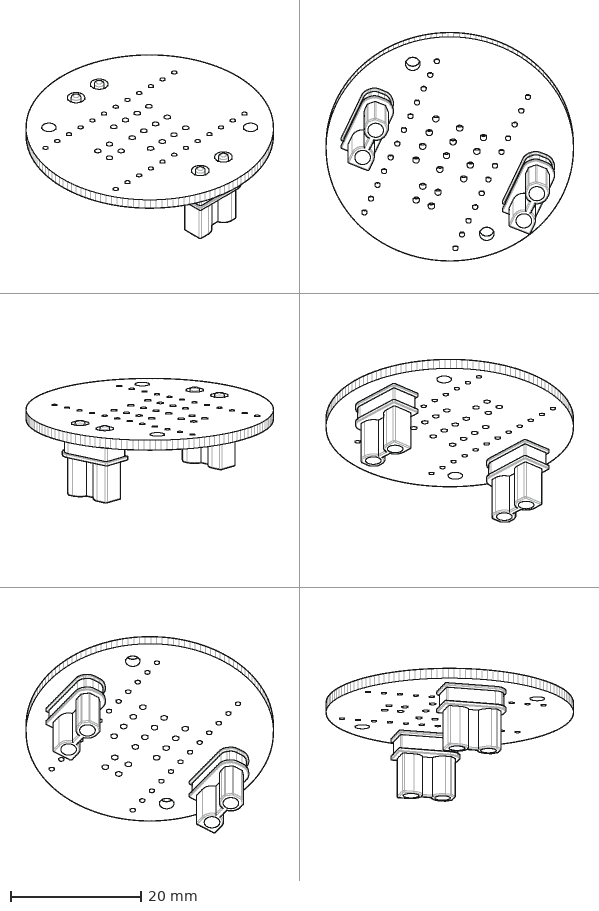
import cadquery as cq
import math

BOARD_DIAMETER = 38.0
BOARD_FACETS = 137
BOARD_THICKNESS = 1.6

HEADER_HOLE_DIAMETER = 0.8
HEADER_ROW_COUNT = 2
HEADER_ROW_SPACING = 15.25
PITCHES_BETWEEN_ROWS = 6
PITCH = HEADER_ROW_SPACING / PITCHES_BETWEEN_ROWS
HEADER_HOLE_COUNT = 12
HEADER_CENTER = (0.1, -1.15)
WIRE_HOLE_DIAMETER = 1.0
WIRE_GRID_X_PITCH = 4.0
WIRE_GRID_COLUMNS = 3
WIRE_GRID_ROWS = 4
SQUARE_GRID_COUNT = 2
SQUARE_GRID_CENTER_Y = -8.75
MOUNTING_HOLE_DIAMETER = 2.2
MOUNTING_HOLE_OFFSET = 10.95
PIN_CLEARANCE_DIAMETER = 2.7

CONNECTOR_OFFSET = 13.5
PIN_SPACING = 5.0

COLLAR_HEIGHT = 0.7
FLANGE_TOP = 2.85
FLANGE_BOTTOM = 3.45
HOUSING_DEPTH = 9.65

PLUG_WIDTH = 3.57
PLUG_LENGTH = 8.63
PLUG_CORNER_CUT = 0.9
PLUG_ROUND = 0.25
WAIST_WIDTH = 1.0
PLUG_TIP_ROUND = 0.2

NECK_WIDTH = 4.5
NECK_LENGTH = 9.5
NECK_CORNER_CUT = 1.1
NECK_KEY_ROUND = 1.5
NECK_PLAIN_ROUND = 0.23

RIM_OVERHANG = 0.35
RIM_PLAIN_ROUND = 0.25
COLLAR_ROUND = 0.23
FLANGE_ROUND = 0.1

SHANK_DIAMETER = 2.4
TAIL_DIAMETER = 1.5
TAIL_PROTRUSION = 0.35
TAIL_ROUND = 0.3


def pin_positions():
    """Y positions of the two pins of a connector."""
    return [-PIN_SPACING / 2, PIN_SPACING / 2]


def keyed_block(width, length, corner_cut, key_round, plain_round, top, bottom):
    """Block between two Z levels whose +Y corners are cut at 45 degrees and rounded."""
    half_width = width / 2
    half_length = length / 2
    outline = [
        (-half_width, -half_length),
        (half_width, -half_length),
        (half_width, half_length - corner_cut),
        (half_width - corner_cut, half_length),
        (-half_width + corner_cut, half_length),
        (-half_width, half_length - corner_cut),
    ]
    block = cq.Workplane("XY").workplane(offset=bottom).polyline(outline).close().extrude(top - bottom)
    block = block.edges("|Z and (not <Y)").fillet(key_round)
    return block.edges("|Z").edges("<Y").fillet(plain_round)


def rim_block(top, bottom):
    """Block with the outline of the neck grown by the rim overhang."""
    growth = 2 * RIM_OVERHANG
    corner_cut = NECK_CORNER_CUT + RIM_OVERHANG * (2 - math.sqrt(2))
    return keyed_block(
        NECK_WIDTH + growth, NECK_LENGTH + growth, corner_cut,
        NECK_KEY_ROUND + RIM_OVERHANG, RIM_PLAIN_ROUND, top, bottom,
    )


def make_waist_cut(side):
    """Material removed between the lobes on one side: -1 for -X, 1 for +X."""
    lobe_radius = PLUG_WIDTH / 2
    cut_depth = lobe_radius - WAIST_WIDTH / 2
    height = HOUSING_DEPTH - FLANGE_BOTTOM
    block = (
        cq.Workplane("XY").workplane(offset=-HOUSING_DEPTH)
        .center(side * (WAIST_WIDTH + cut_depth) / 2, 0)
        .rect(cut_depth, PIN_SPACING)
        .extrude(height)
    )
    lobes = (
        cq.Workplane("XY").workplane(offset=-HOUSING_DEPTH)
        .pushPoints([(0, y) for y in pin_positions()])
        .circle(lobe_radius)
        .extrude(height)
    )
    return block.cut(lobes)


def make_plug():
    plug = keyed_block(
        PLUG_WIDTH, PLUG_LENGTH, PLUG_CORNER_CUT, PLUG_ROUND, PLUG_ROUND, -FLANGE_BOTTOM, -HOUSING_DEPTH,
    )
    for side in (-1, 1):
        plug = plug.cut(make_waist_cut(side))
    return plug.faces("<Z").edges().fillet(PLUG_TIP_ROUND)


def make_housing():
    """Connector housing centred on the Z axis, its top against the board."""
    collar = rim_block(0, -COLLAR_HEIGHT).faces("<Z or >Z").edges().fillet(COLLAR_ROUND)
    neck = keyed_block(
        NECK_WIDTH, NECK_LENGTH, NECK_CORNER_CUT, NECK_KEY_ROUND, NECK_PLAIN_ROUND,
        -COLLAR_HEIGHT, -FLANGE_TOP,
    )
    flange = rim_block(-FLANGE_TOP, -FLANGE_BOTTOM).faces("<Z or >Z").edges().fillet(FLANGE_ROUND)
    pin_bores = (
        cq.Workplane("XY")
        .pushPoints([(0, y) for y in pin_positions()])
        .circle(SHANK_DIAMETER / 2)
        .extrude(-HOUSING_DEPTH)
    )
    return collar.union(neck).union(flange).union(make_plug()).cut(pin_bores)


def make_pin():
    """Pin on the Z axis: the shank fills its bore, the tail rises through the board."""
    shank = cq.Workplane("XY").circle(SHANK_DIAMETER / 2).extrude(-HOUSING_DEPTH)
    tail = (
        cq.Workplane("XY")
        .circle(TAIL_DIAMETER / 2)
        .extrude(BOARD_THICKNESS + TAIL_PROTRUSION)
        .faces(">Z").edges()
        .fillet(TAIL_ROUND)
    )
    return shank.union(tail)


def drill(board, diameter, positions):
    """Cut through holes at the given XY positions."""
    holes = cq.Workplane("XY").pushPoints(positions).circle(diameter / 2).extrude(BOARD_THICKNESS)
    return board.cut(holes)


def grid(x_pitch, y_pitch, columns, rows, center):
    """XY positions of a rectangular grid around a centre."""
    return [
        (
            center[0] + (column - (columns - 1) / 2) * x_pitch,
            center[1] + (row - (rows - 1) / 2) * y_pitch,
        )
        for column in range(columns)
        for row in range(rows)
    ]


def make_board():
    header_holes = grid(HEADER_ROW_SPACING, PITCH, HEADER_ROW_COUNT, HEADER_HOLE_COUNT, HEADER_CENTER)
    wire_holes = grid(WIRE_GRID_X_PITCH, PITCH, WIRE_GRID_COLUMNS, WIRE_GRID_ROWS, (0, 0))
    square_holes = grid(PITCH, PITCH, SQUARE_GRID_COUNT, SQUARE_GRID_COUNT, (0, SQUARE_GRID_CENTER_Y))
    mounting_holes = [(side * MOUNTING_HOLE_OFFSET, side * MOUNTING_HOLE_OFFSET) for side in (-1, 1)]
    pin_holes = [(side * CONNECTOR_OFFSET, y) for side in (-1, 1) for y in pin_positions()]

    board = cq.Workplane("XY").polygon(BOARD_FACETS, BOARD_DIAMETER).extrude(BOARD_THICKNESS)
    board = drill(board, HEADER_HOLE_DIAMETER, header_holes)
    board = drill(board, WIRE_HOLE_DIAMETER, wire_holes + square_holes)
    board = drill(board, MOUNTING_HOLE_DIAMETER, mounting_holes)
    return drill(board, PIN_CLEARANCE_DIAMETER, pin_holes)


board = make_board()
housings = []
pins = []
for side in (-1, 1):
    connector_x = side * CONNECTOR_OFFSET
    housings.append(make_housing().translate((connector_x, 0, 0)))
    for pin_y in pin_positions():
        pins.append(make_pin().translate((connector_x, pin_y, 0)))

result = cq.Compound.makeCompound([
    board.val(),
    *[housing.val() for housing in housings],
    *[pin.val() for pin in pins],
])